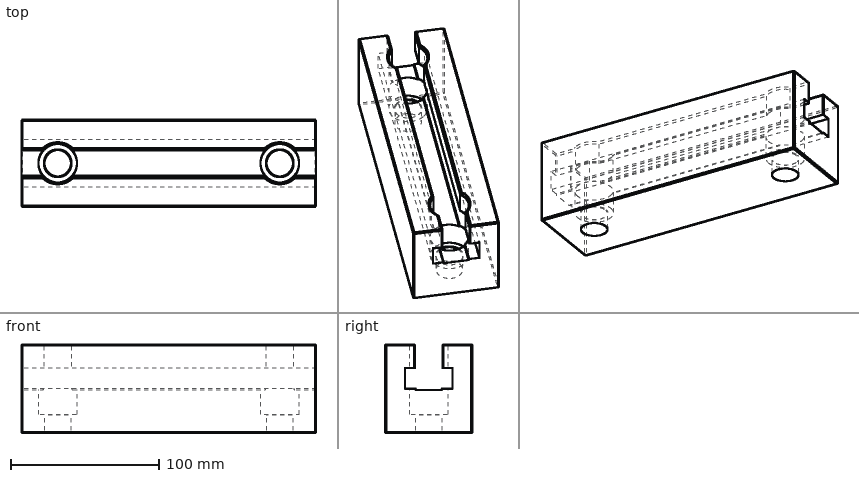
import cadquery as cq

length = 199.0
width = 59.0
height = 60.0
edge_chamfer = 0.8

neck_width = 18.3
neck_chamfer = 1.2
neck_depth = 16.1
slot_width = 31.8
slot_depth = 30.0
slot_ceiling = height - neck_depth
slot_floor = height - slot_depth

relief_top_width = 18.0
relief_bottom_width = 17.0
relief_depth = 0.8

hole_spacing = 150.0
hole_diameter = 18.0
hole_chamfer = 0.4
counterbore_diameter = 26.0
counterbore_floor = 12.7
hole_centers = [(-hole_spacing / 2, 0), (hole_spacing / 2, 0)]

inner_edges = cq.selectors.BoxSelector(
    (-length, -counterbore_diameter / 2, 0), (length, counterbore_diameter / 2, 2 * height)
)


def long_box(box_width, bottom, top):
    """A full-length box centered on the slot, between two heights."""
    box = cq.Workplane("XY").box(length, box_width, top - bottom, centered=(True, True, False))
    return box.translate((0, 0, bottom))


def cylinders(diameter, bottom, top):
    """Upright cylinders at both screw positions, between two heights."""
    plane = cq.Workplane("XY").workplane(offset=bottom)
    return plane.pushPoints(hole_centers).circle(diameter / 2).extrude(top - bottom)


def make_block():
    """The block with its neck and screw clearance open down to the slot ceiling, outer edges broken."""
    block = long_box(width, 0, height).edges().chamfer(edge_chamfer)
    block = block.cut(long_box(neck_width, slot_ceiling, height))
    block = block.cut(cylinders(counterbore_diameter, slot_ceiling, height))
    block = block.faces("<X or >X").edges("|Z").edges(inner_edges).chamfer(edge_chamfer)
    return block.faces(">Z").edges(inner_edges).edges("|X or %CIRCLE").chamfer(neck_chamfer)


def make_relief():
    """The tapered strip removed from the slot floor."""
    relief_floor = slot_floor - relief_depth
    outline = [
        (-relief_top_width / 2, slot_floor),
        (-relief_bottom_width / 2, relief_floor),
        (relief_bottom_width / 2, relief_floor),
        (relief_top_width / 2, slot_floor),
    ]
    return cq.Workplane("YZ").polyline(outline).close().extrude(length / 2, both=True)


def make_hole_chamfers():
    """Cones that break the rim of each screw hole on the counterbore floor."""
    rim_radius = hole_diameter / 2 + hole_chamfer
    rims = cq.Workplane("XY").workplane(offset=counterbore_floor).pushPoints(hole_centers).circle(rim_radius)
    return rims.extrude(-hole_chamfer, taper=45)


result = make_block()
result = result.cut(long_box(slot_width, slot_floor, slot_ceiling))
result = result.cut(make_relief())
result = result.cut(cylinders(counterbore_diameter, counterbore_floor, slot_ceiling))
result = result.cut(cylinders(hole_diameter, 0, slot_floor))
result = result.cut(make_hole_chamfers())